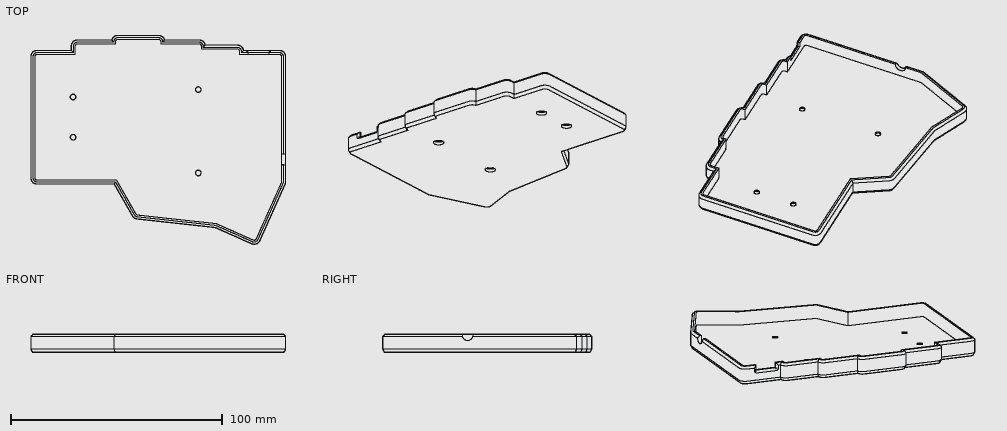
import cadquery as cq


length = 120.3
width = 98.6
height = 8.7

rim_width = 3.0
wall = 1.9
floor_thickness = 2.0
clearance = rim_width - wall
top_chamfer = 1.1
bottom_bevel_height = 1.6
bottom_bevel_inset = 0.8

key_columns = 6
key_rows = 3
board_left = rim_width
board_right = length - rim_width
board_low = rim_width
board_high = width - rim_width
key_pitch = (board_right - board_left) / key_columns
outer_column_top = 88.5
ring_column_top = 93.5
inner_column_top = 91.0
palm_edge = outer_column_top - key_rows * key_pitch
first_column_edge = board_left + key_pitch
second_column_edge = first_column_edge + key_pitch
third_column_edge = 60.3
fourth_column_edge = 79.4
fifth_column_edge = 97.4
thumb_left = (50.5, 14.9)
thumb_bend = (87.8, 10.8)
thumb_tip_x = 105.4
right_side_end = 29.6

board_outline = [
    (board_left, palm_edge),
    (second_column_edge, palm_edge),
    thumb_left,
    thumb_bend,
    (thumb_tip_x, board_low),
    (board_right, right_side_end),
    (board_right, outer_column_top),
    (fifth_column_edge, outer_column_top),
    (fifth_column_edge, inner_column_top),
    (fourth_column_edge, inner_column_top),
    (fourth_column_edge, ring_column_top),
    (third_column_edge, ring_column_top),
    (third_column_edge, board_high),
    (second_column_edge, board_high),
    (second_column_edge, ring_column_top),
    (first_column_edge, ring_column_top),
    (first_column_edge, outer_column_top),
    (board_left, outer_column_top),
]

screw_diameter = 2.5
screw_head_diameter = 4.8
screw_head_depth = 1.5
screw_positions = [(20.0, 69.5), (20.0, 50.5), (79.0, 73.0), (79.0, 33.7)]

plug_left = 102.5
plug_width = 10.0
plug_depth = 2.5
jack_diameter = 5.0
jack_y = 40.0
jack_depth = 3.0


def board_plate(thickness):
    return cq.Workplane("XY").polyline(board_outline).close().extrude(thickness)


def rim_section(workplane):
    """Half section of the rim, from the board outline out to the chamfered wall."""
    return workplane.polyline([
        (0, 0),
        (rim_width - bottom_bevel_inset, 0),
        (rim_width, bottom_bevel_height),
        (rim_width, height - top_chamfer),
        (rim_width - top_chamfer, height),
        (0, height),
    ]).close()


def rim_along(start, end):
    """Straight rim along one side of the board outline."""
    run = cq.Vector(end[0] - start[0], end[1] - start[1], 0)
    outward = run.cross(cq.Vector(0, 0, 1))
    plane = cq.Plane(origin=(*end, 0), xDir=outward, normal=run * -1)
    return rim_section(cq.Workplane(plane)).extrude(run.Length)


def rim_around(corner):
    """Round rim turned about one corner of the board outline."""
    return rim_section(cq.Workplane("XZ", origin=(*corner, 0))).revolve(360, (0, 0), (0, 1))


def block():
    """Solid block with rounded corners and chamfered top and bottom edges."""
    body = board_plate(height)
    next_corners = board_outline[1:] + board_outline[:1]
    for corner, next_corner in zip(board_outline, next_corners):
        body = body.union(rim_along(corner, next_corner))
        body = body.union(rim_around(corner))
    return body.clean()


def cavity():
    outline = cq.Workplane("XY", origin=(0, 0, floor_thickness)).polyline(board_outline).close()
    return outline.offset2D(clearance, "arc").extrude(height)


def screw_holes():
    """Screw holes through the floor, counterbored from the underside."""
    centres = cq.Workplane("XY").pushPoints(screw_positions)
    shanks = centres.circle(screw_diameter / 2).extrude(height)
    heads = centres.circle(screw_head_diameter / 2).extrude(screw_head_depth)
    return shanks.union(heads)


def plug_opening():
    """Square notch through the back rim, its outer edge flared like the rim chamfer."""
    centre_x = plug_left + plug_width / 2
    plane = cq.Plane(origin=(centre_x, outer_column_top, height), xDir=(-1, 0, 0), normal=(0, 1, 0))
    inner_face = cq.Workplane(plane)
    flare_start = inner_face.workplane(offset=rim_width - top_chamfer)
    notch = inner_face.rect(plug_width, 2 * plug_depth).extrude(rim_width)
    flare = flare_start.rect(plug_width, 2 * plug_depth).extrude(top_chamfer, taper=-45)
    return notch.union(flare)


def jack_opening():
    """Round-bottomed notch through the right rim."""
    axis_height = height - jack_depth + jack_diameter / 2
    inner_face = cq.Workplane("YZ", origin=(board_right, jack_y, axis_height))
    return inner_face.circle(jack_diameter / 2).extrude(rim_width)


result = block().cut(cavity()).cut(screw_holes()).cut(plug_opening()).cut(jack_opening())